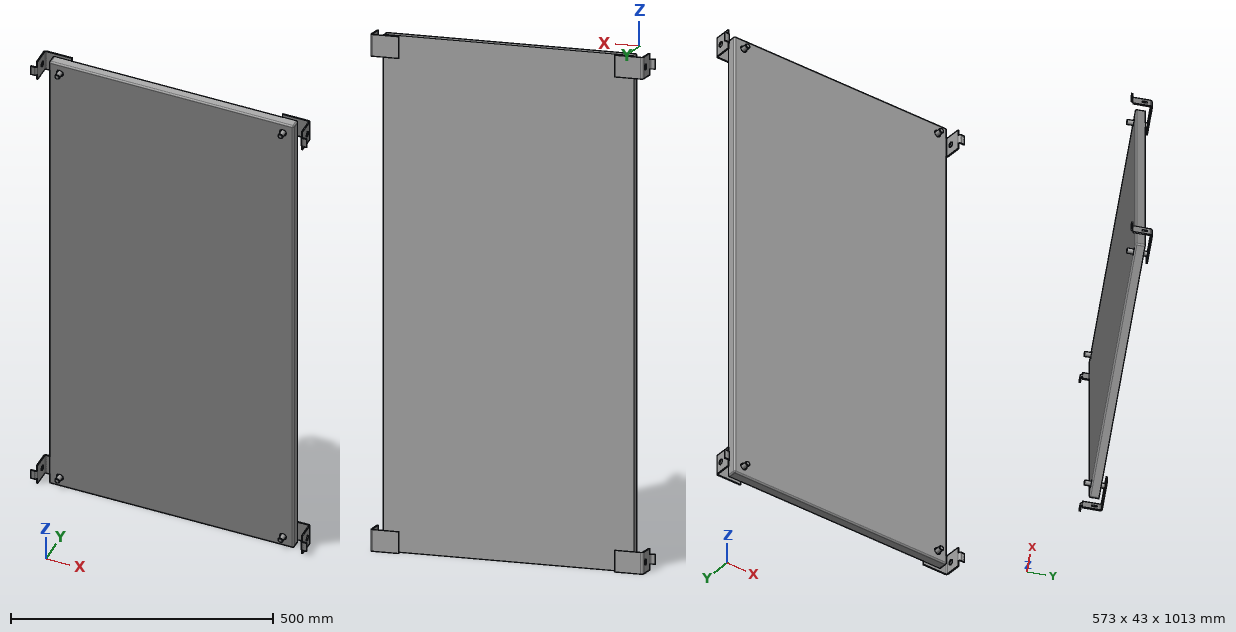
import cadquery as cq

total_width = 573.0
total_depth = 43.0
total_height = 1013.0
half_width = total_width / 2
half_height = total_height / 2
back_y = total_depth / 2
front_y = -back_y

panel_width = 508.0
panel_depth = 19.0
panel_back_y = 11.0
panel_front_y = panel_back_y - panel_depth
panel_edge_radius = 3.0
panel_hole_diameter = 14.0

sheet = 2.5
inner_bend_radius = 2.0
outer_bend_radius = inner_bend_radius + sheet
bracket_height = 43.0
arm_length = 58.0
tab_length = 10.0
tab_height = 19.0
bracket_hole_diameter = 11.0
bracket_hole_setback = 15.0

leg_outer_x = half_width - tab_length
leg_inner_x = leg_outer_x - sheet
arm_inner_x = leg_outer_x - arm_length

pin_diameter = 10.0
pin_tip_chamfer = 1.0
pin_x = 232.0
corner_z = half_height - bracket_height / 2

corners = [(side, level) for side in (-1, 1) for level in (-1, 1)]


def block(x_range, y_range, z_range):
    """Box filling the given X, Y and Z ranges."""
    sizes = [end - start for start, end in (x_range, y_range, z_range)]
    return cq.Workplane("XY", origin=(x_range[0], y_range[0], z_range[0])).box(*sizes, centered=False)


def rod(x, z, diameter, y_start, y_end):
    """Cylinder along +Y from y_start to y_end."""
    start = cq.Vector(x, y_start, z)
    return cq.Workplane(cq.Solid.makeCylinder(diameter / 2, y_end - y_start, start, cq.Vector(0, 1, 0)))


def make_panel():
    """Plate with rounded corners and front rim, and a clearance hole for each pin."""
    panel = block(
        (-panel_width / 2, panel_width / 2),
        (panel_front_y, panel_back_y),
        (-half_height, half_height),
    )
    panel = panel.edges("|Y or <Y").fillet(panel_edge_radius)
    for side, level in corners:
        hole = rod(side * pin_x, level * corner_z, panel_hole_diameter, panel_front_y, panel_back_y)
        panel = panel.cut(hole)
    return panel


def bent_sheet():
    """Z-shaped sheet with rounded bends, at full height along its whole length."""
    blank = (
        cq.Workplane("XY", origin=(0, 0, -bracket_height / 2))
        .moveTo(arm_inner_x, back_y)
        .lineTo(leg_outer_x, back_y)
        .lineTo(leg_outer_x, front_y + sheet)
        .lineTo(half_width, front_y + sheet)
        .lineTo(half_width, front_y)
        .lineTo(leg_inner_x, front_y)
        .lineTo(leg_inner_x, back_y - sheet)
        .lineTo(arm_inner_x, back_y - sheet)
        .close()
        .extrude(bracket_height)
    )
    bends = [
        (leg_outer_x, back_y, outer_bend_radius),
        (leg_inner_x, back_y - sheet, inner_bend_radius),
        (leg_inner_x, front_y, outer_bend_radius),
        (leg_outer_x, front_y + sheet, inner_bend_radius),
    ]
    for x, y, radius in bends:
        blank = blank.edges(cq.selectors.NearestToPointSelector((x, y, 0))).fillet(radius)
    return blank


def make_bracket(side, level):
    """Bracket with its tab and front bend narrowed and a round hole through the leg."""
    bracket = bent_sheet()
    for end in (-1, 1):
        relief = block(
            (leg_inner_x, half_width),
            (front_y, front_y + outer_bend_radius),
            sorted((end * tab_height / 2, end * bracket_height / 2)),
        )
        bracket = bracket.cut(relief)
    hole = (
        cq.Workplane("YZ", origin=(leg_inner_x, back_y - bracket_hole_setback, 0))
        .circle(bracket_hole_diameter / 2)
        .extrude(sheet)
    )
    bracket = bracket.cut(hole)
    if side < 0:
        bracket = bracket.mirror("YZ")
    return bracket.translate((0, 0, level * corner_z))


def make_pin(side, level):
    """Round pin from the bracket arm to the front, with a chamfered tip."""
    pin = rod(side * pin_x, level * corner_z, pin_diameter, front_y, back_y - sheet)
    return pin.faces("<Y").chamfer(pin_tip_chamfer)


panel = make_panel()
brackets = [make_bracket(side, level).val() for side, level in corners]
pins = [make_pin(side, level).val() for side, level in corners]

result = cq.Compound.makeCompound([panel.val(), *brackets, *pins])